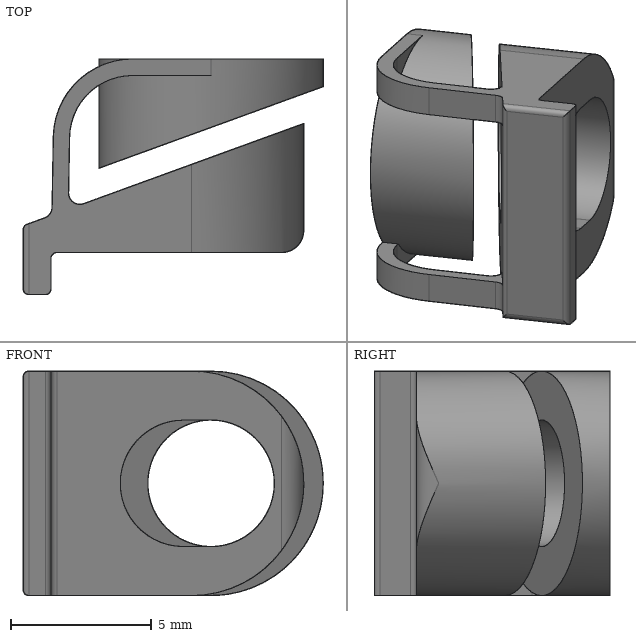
import cadquery as cq
import math

length = 10.7
depth = 8.4
height = 8.0
outer_radius = height / 2

hole_diameter = 4.5
ring_center_x = length - outer_radius
body_center_x = 6.0
slot_left_center_x = 5.71
slope = math.tan(math.radians(20))
body_slope_start_y = 2.46
ring_slope_start_y = 3.52
body_base_y = 1.5
body_base_radius = 0.79

plate_thickness = 1.0
plate_edge_radius = 0.2

strap_thickness = 0.59
strap_width = 1.01
strap_outer_radius = 2.82
strap_center_x = 3.9
strap_lean = math.radians(1)
strap_root_radius = 0.4
strap_leg_length = 3.0

window_height = height - 2 * strap_width


def extrude_profile(sketch, thickness):
    """Extrude an XY outline evenly to both sides of the Z = 0 plane."""
    return sketch.extrude(thickness / 2, both=True)


def cylinder_along_y(center_x, radius):
    """Cylinder spanning the full depth of the part."""
    return cq.Workplane("XZ").center(center_x, 0).circle(radius).extrude(-depth)


def half_space_above(start_y):
    """Block above the sloping plane that crosses x = 0 at start_y."""
    top_y = start_y + slope * length + depth
    sketch = (
        cq.Workplane("XY")
        .moveTo(0, start_y)
        .lineTo(length, start_y + slope * length)
        .lineTo(length, top_y)
        .lineTo(0, top_y)
        .close()
    )
    return extrude_profile(sketch, height)


def make_body():
    """Plate and sloped body, rounded at the +X end."""
    right_x = body_center_x + outer_radius
    sketch = (
        cq.Workplane("XY")
        .lineTo(plate_thickness, 0)
        .lineTo(plate_thickness, body_base_y)
        .lineTo(right_x, body_base_y)
        .lineTo(right_x, body_slope_start_y + slope * right_x)
        .lineTo(0, body_slope_start_y)
        .close()
    )
    body = extrude_profile(sketch, height)
    body = body.edges(cq.selectors.NearestToPointSelector((right_x, body_base_y, 0))).fillet(body_base_radius)
    rounded_outline = cylinder_along_y(body_center_x, outer_radius).union(
        cq.Workplane("XY").box(body_center_x, depth, height, centered=(False, False, True))
    )
    return body.intersect(rounded_outline)


def make_strap():
    """Full-height strap: leaning leg, concentric bend and straight top."""
    center_y = depth - strap_outer_radius
    inner_radius = strap_outer_radius - strap_thickness
    bend_middle = math.radians(135) - strap_lean / 2

    def bend_point(radius, angle):
        return (strap_center_x + radius * math.cos(angle), center_y + radius * math.sin(angle))

    def leg_foot(radius):
        x, y = bend_point(radius, math.pi - strap_lean)
        return (x - strap_leg_length * math.sin(strap_lean), y - strap_leg_length * math.cos(strap_lean))

    sketch = (
        cq.Workplane("XY")
        .moveTo(*leg_foot(strap_outer_radius))
        .lineTo(*bend_point(strap_outer_radius, math.pi - strap_lean))
        .threePointArc(bend_point(strap_outer_radius, bend_middle), (strap_center_x, depth))
        .lineTo(ring_center_x, depth)
        .lineTo(ring_center_x, depth - strap_thickness)
        .lineTo(strap_center_x, depth - strap_thickness)
        .threePointArc(bend_point(inner_radius, bend_middle), bend_point(inner_radius, math.pi - strap_lean))
        .lineTo(*leg_foot(inner_radius))
        .close()
    )
    return extrude_profile(sketch, height)


def round_corners(part):
    """Round the strap roots and the edges of the end plate."""
    outer_root_x = strap_center_x - strap_outer_radius
    for root_x in (outer_root_x, outer_root_x + strap_thickness):
        root = (root_x, body_slope_start_y + slope * root_x, 0)
        part = part.edges(cq.selectors.NearestToPointSelector(root)).fillet(strap_root_radius)
    for corner_y in (0, body_base_y):
        corner = (plate_thickness, corner_y, 0)
        part = part.edges(cq.selectors.NearestToPointSelector(corner)).fillet(plate_edge_radius)
    return part.faces("<X").edges().fillet(plate_edge_radius)


def make_ring():
    """Ring with a sloping face toward the body."""
    ring = cylinder_along_y(ring_center_x, outer_radius).intersect(half_space_above(ring_slope_start_y))
    return ring.cut(cylinder_along_y(ring_center_x, hole_diameter / 2))


def make_slot():
    """Elongated passage through the body, flush with the ring hole on its +X side."""
    span = ring_center_x - slot_left_center_x
    return (
        cq.Workplane("XZ")
        .center((ring_center_x + slot_left_center_x) / 2, 0)
        .slot2D(span + hole_diameter, hole_diameter)
        .extrude(-depth)
    )


window = half_space_above(body_slope_start_y).intersect(
    cq.Workplane("XY").box(2 * length, 4 * depth, window_height)
)

frame = round_corners(make_body().union(make_strap()))
frame = frame.cut(window).cut(make_slot())
result = frame.union(make_ring())